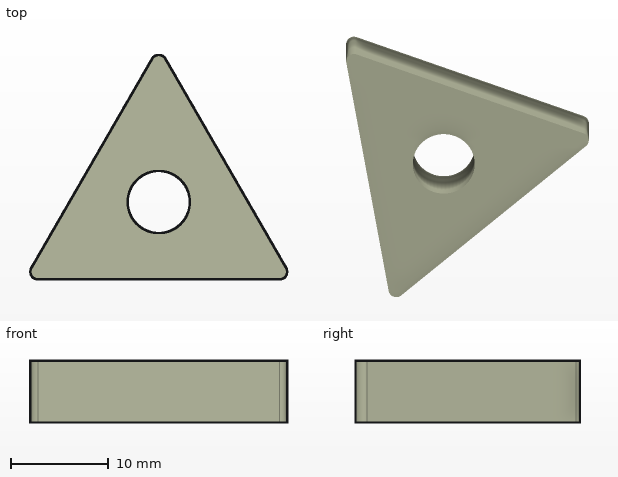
import cadquery as cq
import math

width = 26.32
thickness = 6.35
corner_radius = 0.8
hole_diameter = 6.35

arc_centre_spacing = width - 2 * corner_radius
sharp_side = arc_centre_spacing + 2 * math.sqrt(3) * corner_radius
circumscribed_diameter = 2 * sharp_side / math.sqrt(3)

plate = (
    cq.Workplane("XY")
    .transformed(rotate=(0, 0, 90))
    .polygon(3, circumscribed_diameter)
    .extrude(thickness)
    .edges("|Z")
    .fillet(corner_radius)
)

result = plate.faces(">Z").workplane(origin=(0, 0, 0)).hole(hole_diameter)